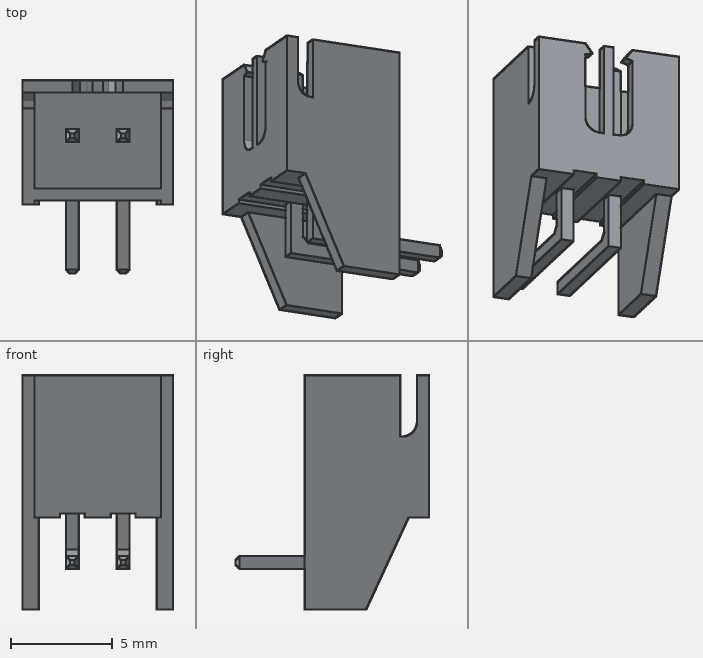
import cadquery as cq


width = 7.4
depth = 6.11
height = 11.5
body_bottom = 4.51
rear_lower_depth = 1.0
foot_rear = 3.08
leg_thickness = 0.8

wall = 0.6
front_wall = 0.78
floor_thickness = 1.0
cavity_width = width - 2 * wall
panel_recess = 0.2

side_slot_width = 0.8
side_slot_depth = 3.0
slot_radius = 0.71

tongue_half_width = 0.25
rear_slot_outer = 1.24
rear_slot_depth = 4.6
lip_tip = 0.87
lip_tip_drop = 0.48
lip_base_drop = 0.59

pin_pitch = 2.5
pin_size = 0.64
pin_row_y = -2.73
pin_end_y = -9.5
tail_z = 2.31
tip_length = 0.21
tip_taper = 0.21
bend_chamfer = 0.31
notch_width = 1.21
notch_height = 0.2

pin_positions = [-pin_pitch / 2, pin_pitch / 2]


def box(x_min, x_max, y_min, y_max, z_min, z_max):
    """Box given by its limits along the three axes."""
    size = (x_max - x_min, y_max - y_min, z_max - z_min)
    return cq.Workplane("XY").box(*size, centered=False).translate((x_min, y_min, z_min))


def housing_shell():
    """Side profile with tapered legs, hollowed from above and open between the legs."""
    shell = (
        cq.Workplane("YZ")
        .moveTo(0, height)
        .lineTo(0, body_bottom)
        .lineTo(-rear_lower_depth, body_bottom)
        .lineTo(-foot_rear, 0)
        .lineTo(-depth, 0)
        .lineTo(-depth, height)
        .close()
        .extrude(width / 2, both=True)
    )
    leg_inner = width / 2 - leg_thickness
    between_legs = box(-leg_inner, leg_inner, -depth, 0, 0, body_bottom)
    cavity = box(
        -cavity_width / 2, cavity_width / 2, -depth + front_wall, -wall, body_bottom + floor_thickness, height
    )
    front_recess = box(
        -cavity_width / 2, cavity_width / 2, -depth, -depth + panel_recess, body_bottom, height
    )
    return shell.cut(between_legs).cut(cavity).cut(front_recess)


def side_slots():
    """Slot across both side walls, rounded at the bottom next to the rear wall."""
    slot_front = -wall - side_slot_width
    slot_bottom = height - side_slot_depth
    return (
        cq.Workplane("YZ")
        .moveTo(-wall, height)
        .lineTo(-wall, slot_bottom + slot_radius)
        .radiusArc((-wall - slot_radius, slot_bottom), slot_radius)
        .lineTo(slot_front, slot_bottom)
        .lineTo(slot_front, height)
        .close()
        .extrude(width / 2, both=True)
    )


def rear_slot():
    """Slot on the +X side of the tongue, narrowed near the top by a pointed lip."""
    slot_bottom = height - rear_slot_depth
    return (
        cq.Workplane("XZ")
        .moveTo(tongue_half_width, height)
        .lineTo(tongue_half_width, slot_bottom)
        .lineTo(rear_slot_outer - slot_radius, slot_bottom)
        .radiusArc((rear_slot_outer, slot_bottom + slot_radius), -slot_radius)
        .lineTo(rear_slot_outer, height - lip_base_drop)
        .lineTo(lip_tip, height - lip_tip_drop)
        .lineTo(rear_slot_outer, height)
        .close()
        .extrude(wall)
    )


def make_pin(x):
    """Right-angle square pin with tapered tips and a chamfered inner bend."""
    half = pin_size / 2
    tip_size = pin_size - 2 * tip_taper
    post_front = pin_row_y - half
    post_top = height - tip_length
    tail_top = tail_z + half
    tail_end = pin_end_y + tip_length
    bent_bar = (
        cq.Workplane("YZ")
        .moveTo(pin_row_y + half, post_top)
        .lineTo(pin_row_y + half, tail_z - half)
        .lineTo(tail_end, tail_z - half)
        .lineTo(tail_end, tail_top)
        .lineTo(post_front - bend_chamfer, tail_top)
        .lineTo(post_front, tail_top + bend_chamfer)
        .lineTo(post_front, post_top)
        .close()
        .extrude(half, both=True)
    )
    top_tip = (
        cq.Workplane("XY", origin=(0, pin_row_y, post_top))
        .rect(pin_size, pin_size)
        .workplane(offset=tip_length)
        .rect(tip_size, tip_size)
        .loft(ruled=True)
    )
    tail_tip = (
        cq.Workplane("XZ", origin=(0, tail_end, tail_z))
        .rect(pin_size, pin_size)
        .workplane(offset=tip_length)
        .rect(tip_size, tip_size)
        .loft(ruled=True)
    )
    return bent_bar.union(top_tip).union(tail_tip).translate((x, 0, 0))


def make_housing():
    """Housing with its slots, underside notches and pin holes."""
    body = housing_shell().cut(side_slots())
    right_slot = rear_slot()
    body = body.cut(right_slot).cut(right_slot.mirror("YZ"))
    for x in pin_positions:
        notch = box(
            x - notch_width / 2, x + notch_width / 2, -depth, 0, body_bottom, body_bottom + notch_height
        )
        body = body.cut(notch).cut(make_pin(x))
    return body


housing = make_housing()
pins = [make_pin(x) for x in pin_positions]

result = cq.Compound.makeCompound([housing.val(), *[pin.val() for pin in pins]])